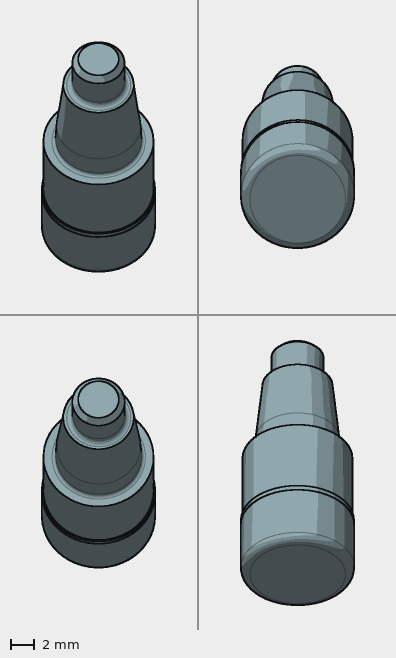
import cadquery as cq
import math

TOTAL_HEIGHT = 23.5

BASE_RADIUS = 9.55 / 2
BASE_HEIGHT = 5.26
BASE_FILLET = 0.75

FLANGE_RADIUS = 9.52 / 2
FLANGE_HEIGHT = 0.45
BARREL_RADIUS = 9.25 / 2
BARREL_TOP_Z = 12.3
NECK_FILLET = 0.3
TAPER_BOTTOM_Z = 14.43
TAPER_BOTTOM_RADIUS = 3.52
TAPER_TOP_RADIUS = 2.95
TIP_RADIUS = 4.4 / 2
TIP_LENGTH = 3.5
TIP_FILLET = 0.5
TIP_CHAMFER = 0.5

FLANGE_TOP_Z = BASE_HEIGHT + FLANGE_HEIGHT
TAPER_TOP_Z = TOTAL_HEIGHT - TIP_LENGTH

NECK_BOTTOM_Z = BARREL_TOP_Z + NECK_FILLET
TAPER_ANGLE = math.atan2(TAPER_BOTTOM_RADIUS - TAPER_TOP_RADIUS, TAPER_TOP_Z - TAPER_BOTTOM_Z)
NECK_ARC_RADIUS = (TAPER_BOTTOM_Z - NECK_BOTTOM_Z) / math.sin(TAPER_ANGLE)
NECK_RADIUS = TAPER_BOTTOM_RADIUS + NECK_ARC_RADIUS * (1 - math.cos(TAPER_ANGLE))


def make_base():
    """Solid cylinder that carries the plunger on its flat top."""
    cylinder = cq.Workplane("XY").circle(BASE_RADIUS).extrude(BASE_HEIGHT)
    return cylinder.faces("<Z").edges().fillet(BASE_FILLET)


def make_plunger():
    """Turned plunger: half profile in the XZ plane, revolved about Z."""
    profile = (
        cq.Workplane("XZ")
        .moveTo(0, BASE_HEIGHT)
        .lineTo(FLANGE_RADIUS, BASE_HEIGHT)
        .lineTo(FLANGE_RADIUS, FLANGE_TOP_Z)
        .lineTo(BARREL_RADIUS, FLANGE_TOP_Z)
        .lineTo(BARREL_RADIUS, BARREL_TOP_Z)
        .lineTo(NECK_RADIUS + NECK_FILLET, BARREL_TOP_Z)
        .radiusArc((NECK_RADIUS, NECK_BOTTOM_Z), NECK_FILLET)
        .radiusArc((TAPER_BOTTOM_RADIUS, TAPER_BOTTOM_Z), -NECK_ARC_RADIUS)
        .lineTo(TAPER_TOP_RADIUS, TAPER_TOP_Z)
        .lineTo(TIP_RADIUS + TIP_FILLET, TAPER_TOP_Z)
        .radiusArc((TIP_RADIUS, TAPER_TOP_Z + TIP_FILLET), TIP_FILLET)
        .lineTo(TIP_RADIUS, TOTAL_HEIGHT - TIP_CHAMFER)
        .lineTo(TIP_RADIUS - TIP_CHAMFER, TOTAL_HEIGHT)
        .lineTo(0, TOTAL_HEIGHT)
        .close()
    )
    return profile.revolve(360, (0, 0, 0), (0, 1, 0))


base = make_base()
plunger = make_plunger()

result = cq.Compound.makeCompound([base.val(), plunger.val()])